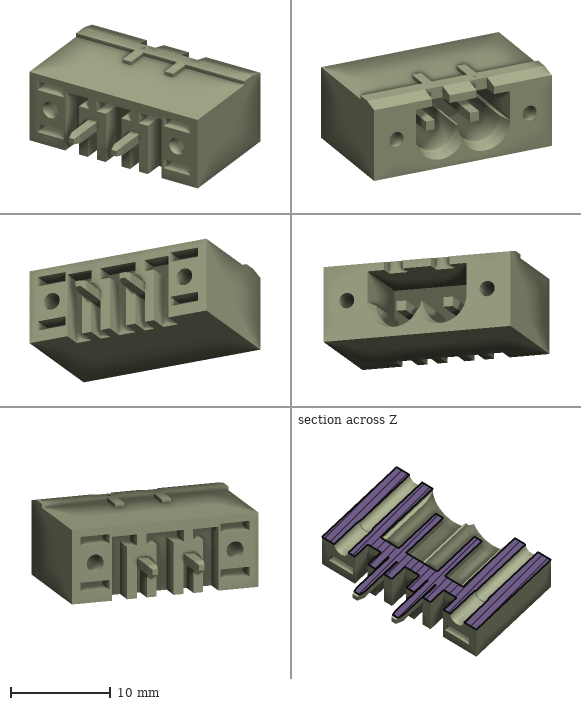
import cadquery as cq
import math

body_width = 20.0
body_depth = 12.1
body_height = 7.8

rib_height = 0.4
rib_depth = 3.1
slope_depth = 1.6
finger_width = 1.0
finger_length = 2.4
rib_top = body_height + rib_height

pin_pitch = 5.0
pin_positions = (-pin_pitch / 2, pin_pitch / 2)
pin_size = 1.0
pin_height = 3.75
pin_length = 4.0
pin_tip_length = 0.9
pin_tip_size = 0.6

recess_width = 11.45
recess_height = 6.7
recess_depth = 2.1
web_width = 3.15
web_height = 5.5
stem_width = 1.0
slot_width = 1.08
slot_height = 4.35

flange_x = 7.5
hole_height = 4.1
hole_diameter = 1.6
hole_mouth_diameter = 1.8
hole_mouth_depth = 4.0
pocket_width = 3.1
pocket_height = 1.0
pocket_offset = 2.4
pocket_heights = (hole_height - pocket_offset, hole_height + pocket_offset)

cavity_depth = 8.4
cavity_front = body_depth - cavity_depth
floor_thickness = 0.95
roof_thickness = 0.85
mouth_flare = 0.4
socket_mouth_radius = pin_height - floor_thickness
socket_radius = socket_mouth_radius - mouth_flare
cavity_roof = body_height - roof_thickness
cavity_width = pin_pitch + 2 * socket_mouth_radius
contact_setback = 2.4

notch_width = 2.0

mark_size = 0.55
mark_apex_y = body_depth - 2.0
mark_depth = 0.1


def block(width, depth, height, x, y, z):
    """Box centred on x, starting at y and z."""
    base = cq.Workplane("XY", origin=(x, y, z))
    return base.box(width, depth, height, centered=(True, False, False))


def make_body():
    profile = [
        (0, 0),
        (body_depth, 0),
        (body_depth, body_height),
        (body_depth - slope_depth, rib_top),
        (body_depth - rib_depth, rib_top),
        (body_depth - rib_depth, body_height),
        (0, body_height),
    ]
    return cq.Workplane("YZ").polyline(profile).close().extrude(body_width / 2, both=True)


def make_finger(x):
    finger_front = body_depth - rib_depth - finger_length
    return block(finger_width, finger_length, rib_height, x, finger_front, body_height)


def make_recess():
    recess = block(recess_width, recess_depth, recess_height, 0, 0, 0)
    for x in pin_positions:
        web = block(web_width, recess_depth, web_height, x, 0, 0)
        stem = block(stem_width, recess_depth, recess_height, x, 0, 0)
        slot = block(slot_width, recess_depth, slot_height, x, 0, 0)
        recess = recess.cut(web.union(stem)).union(slot)
    return recess


def make_pin(x):
    shaft_end = -(pin_length - pin_tip_length)
    shaft_length = body_depth - contact_setback - shaft_end
    shaft = block(pin_size, shaft_length, pin_size, x, shaft_end, pin_height - pin_size / 2)
    tip = (
        cq.Workplane("XZ", origin=(x, shaft_end, pin_height))
        .rect(pin_size, pin_size)
        .workplane(offset=pin_tip_length)
        .rect(pin_tip_size, pin_tip_size)
        .loft(ruled=True)
    )
    return shaft.union(tip)


def make_flange_cuts(x):
    front = cq.Workplane("XZ", origin=(x, 0, hole_height))
    cuts = front.circle(hole_diameter / 2).extrude(-body_depth)
    cuts = cuts.union(front.circle(hole_mouth_diameter / 2).extrude(-hole_mouth_depth))
    for z in pocket_heights:
        cuts = cuts.union(block(pocket_width, recess_depth, pocket_height, x, 0, z - pocket_height / 2))
    return cuts


def make_socket(x):
    """Round socket on the contact axis, widening towards the rear face."""
    half_section = [
        (0, cavity_front),
        (socket_radius, cavity_front),
        (socket_radius, body_depth - slope_depth),
        (socket_mouth_radius, body_depth),
        (0, body_depth),
    ]
    profile = cq.Workplane("XY", origin=(x, 0, pin_height)).polyline(half_section).close()
    return profile.revolve(360, (0, 0, 0), (0, 1, 0))


def make_cavity():
    cavity = block(cavity_width, cavity_depth, cavity_roof - pin_height, 0, cavity_front, pin_height)
    for x in pin_positions:
        cavity = cavity.union(make_socket(x))
    return cavity


def make_notch(x):
    return block(notch_width, slope_depth, rib_top - pin_height, x, body_depth - slope_depth, pin_height)


def make_mark(x):
    half = mark_size / 2
    base_y = mark_apex_y - half * math.sqrt(3)
    outline = [(x - half, base_y), (x + half, base_y), (x, mark_apex_y)]
    return cq.Workplane("XY", origin=(0, 0, rib_top)).polyline(outline).close().extrude(-mark_depth)


result = make_body().cut(make_recess()).cut(make_cavity())
for side in (-1, 1):
    result = result.cut(make_flange_cuts(side * flange_x))
for pin_x in pin_positions:
    result = result.union(make_finger(pin_x)).cut(make_notch(pin_x)).union(make_pin(pin_x))
result = result.cut(make_mark(pin_positions[0]))